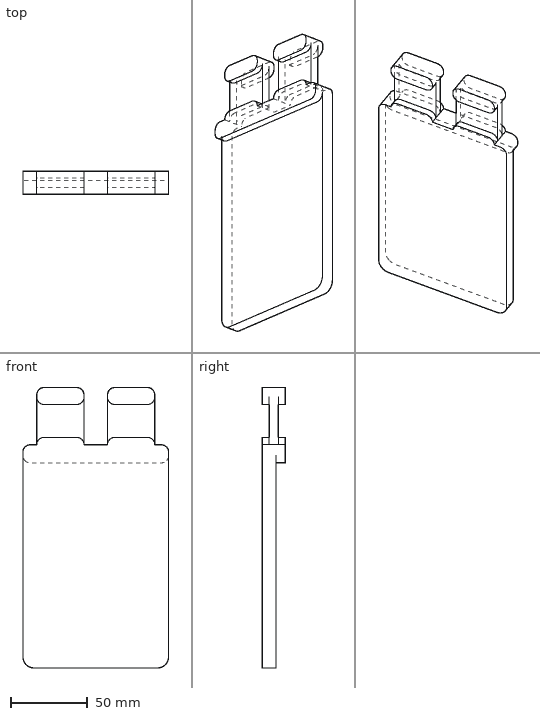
import cadquery as cq

width = 95.0
depth = 15.2
height = 182.5

plate_thickness = 9.1
shoulder_z = 145.3
plate_corner_radius = 7.5

bar_height = 11.9
edge_radius = 5.0

hook_width = 30.9
hook_gap = 15.2
hook_offset = (hook_gap + hook_width) / 2
head_height = 11.1
stem_thickness = 6.0
bump_rise = 4.7


def block(size_x, size_z, thickness, center_x, bottom_z, front_y=0.0):
    """Box centred on center_x, standing on bottom_z, reaching back from front_y."""
    box = cq.Workplane("XY").box(size_x, thickness, size_z, centered=(True, False, False))
    return box.translate((center_x, front_y, bottom_z))


def rounded_bar(size_x, size_z, center_x, top_z):
    """Full-depth bar with its four front-to-back edges rounded."""
    bar = block(size_x, size_z, depth, center_x, top_z - size_z)
    return bar.edges("|Y").fillet(edge_radius)


def plate():
    """Plate with rounded bottom corners, ending halfway up the top bar."""
    plate_height = shoulder_z - bar_height / 2
    body = block(width, plate_height, plate_thickness, 0, 0)
    return body.edges("|Y and <Z").fillet(plate_corner_radius)


def hook(center_x):
    """Stem joining a rounded head to a matching bump that is partly sunk into the bar."""
    bump_top_z = shoulder_z + bump_rise
    stem_bottom_z = shoulder_z - bar_height / 2
    stem_height = height - head_height / 2 - stem_bottom_z
    stem_front_y = (depth - stem_thickness) / 2
    head = rounded_bar(hook_width, head_height, center_x, height)
    bump = rounded_bar(hook_width, head_height, center_x, bump_top_z)
    stem = block(hook_width, stem_height, stem_thickness, center_x, stem_bottom_z, stem_front_y)
    return head.union(stem).union(bump)


result = plate().union(rounded_bar(width, bar_height, 0, shoulder_z))
for side in (-1, 1):
    result = result.union(hook(side * hook_offset))